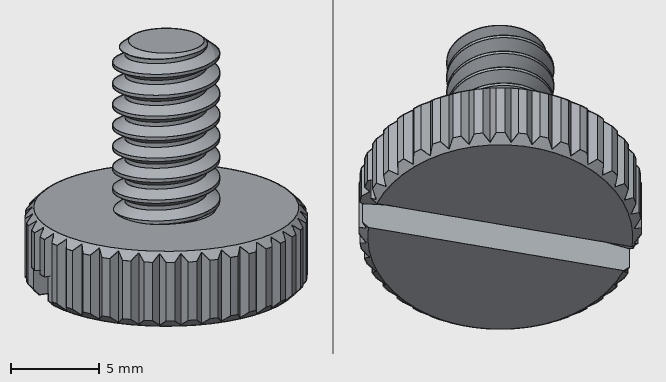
import cadquery as cq
import math

HEAD_RADIUS = 8.0
HEAD_HEIGHT = 4.5
HEAD_CHAMFER = 0.5
KNURL_COUNT = 40
KNURL_DEPTH = 0.39

SLOT_WIDTH = 2.0
SLOT_RIM_DEPTH = 1.75
SLOT_CENTRE_DEPTH = 2.5

SCREW_LENGTH = 10.0
MAJOR_RADIUS = 6.07 / 2
ROOT_RADIUS = 4.67 / 2
TIP_RADIUS = 2.14
TIP_SLOPE = 0.8
PITCH = 1.256
CREST_WIDTH = 0.2
FLANK_SLOPE = math.tan(math.radians(30))
BASE_COLLAR_RADIUS = 2.83
GROOVE_PHASE = 0.885
CUTTER_OVERREACH = 0.1
COLLAR_INSET = 0.1
CUT_TOLERANCE = 1e-4


def make_head():
    disc = (
        cq.Workplane("XY")
        .circle(HEAD_RADIUS)
        .extrude(HEAD_HEIGHT)
        .faces("<Z or >Z")
        .chamfer(HEAD_CHAMFER)
    )
    reach = 2 * KNURL_DEPTH
    valley = HEAD_RADIUS - KNURL_DEPTH
    groove = (
        cq.Workplane("XY")
        .polyline([(valley, 0), (valley + reach, reach), (valley + reach, -reach)])
        .close()
        .extrude(HEAD_HEIGHT)
    )
    for index in range(KNURL_COUNT):
        angle = index * 360 / KNURL_COUNT
        disc = disc.cut(groove.rotate((0, 0, 0), (0, 0, 1), angle))
    slot = (
        cq.Workplane("YZ")
        .moveTo(-HEAD_RADIUS, 0)
        .lineTo(-HEAD_RADIUS, SLOT_RIM_DEPTH)
        .threePointArc((0, SLOT_CENTRE_DEPTH), (HEAD_RADIUS, SLOT_RIM_DEPTH))
        .lineTo(HEAD_RADIUS, 0)
        .close()
        .extrude(SLOT_WIDTH / 2, both=True)
    )
    return disc.cut(slot)


def make_thread_cutter():
    """Helical ridge with the shape of the thread groove, overrunning both screw ends."""
    outer_radius = MAJOR_RADIUS + CUTTER_OVERREACH
    half_groove = (PITCH - CREST_WIDTH) / 2
    half_root = half_groove - (MAJOR_RADIUS - ROOT_RADIUS) * FLANK_SLOPE
    half_mouth = half_groove + CUTTER_OVERREACH * FLANK_SLOPE
    start = GROOVE_PHASE - 2 * PITCH
    turns = math.ceil(SCREW_LENGTH / PITCH) + 3
    helix = cq.Wire.makeHelix(PITCH, turns * PITCH, ROOT_RADIUS, cq.Vector(0, 0, start))
    profile = (
        cq.Workplane("XZ")
        .moveTo(ROOT_RADIUS, start - half_root)
        .lineTo(outer_radius, start - half_mouth)
        .lineTo(outer_radius, start + half_mouth)
        .lineTo(ROOT_RADIUS, start + half_root)
        .close()
    )
    return profile.sweep(cq.Workplane(obj=helix), isFrenet=True)


def make_screw():
    rod = cq.Workplane("XY").circle(MAJOR_RADIUS).extrude(SCREW_LENGTH)
    threaded_rod = rod.cut(make_thread_cutter(), tol=CUT_TOLERANCE)
    bevel_base_radius = MAJOR_RADIUS + CUTTER_OVERREACH
    bevel_drop = (bevel_base_radius - TIP_RADIUS) * TIP_SLOPE
    envelope = (
        cq.Workplane("XZ")
        .lineTo(bevel_base_radius, 0)
        .lineTo(bevel_base_radius, SCREW_LENGTH - bevel_drop)
        .lineTo(TIP_RADIUS, SCREW_LENGTH)
        .lineTo(0, SCREW_LENGTH)
        .close()
        .revolve(360, (0, 0, 0), (0, 1, 0))
    )
    core_radius = ROOT_RADIUS - COLLAR_INSET
    collar_height = (BASE_COLLAR_RADIUS - core_radius) * FLANK_SLOPE
    collar = (
        cq.Workplane("XZ")
        .lineTo(BASE_COLLAR_RADIUS, 0)
        .lineTo(core_radius, collar_height)
        .lineTo(0, collar_height)
        .close()
        .revolve(360, (0, 0, 0), (0, 1, 0))
    )
    return threaded_rod.intersect(envelope).union(collar).translate((0, 0, HEAD_HEIGHT))


head = make_head()
screw = make_screw()

result = cq.Compound.makeCompound([head.solids().val(), screw.solids().val()])